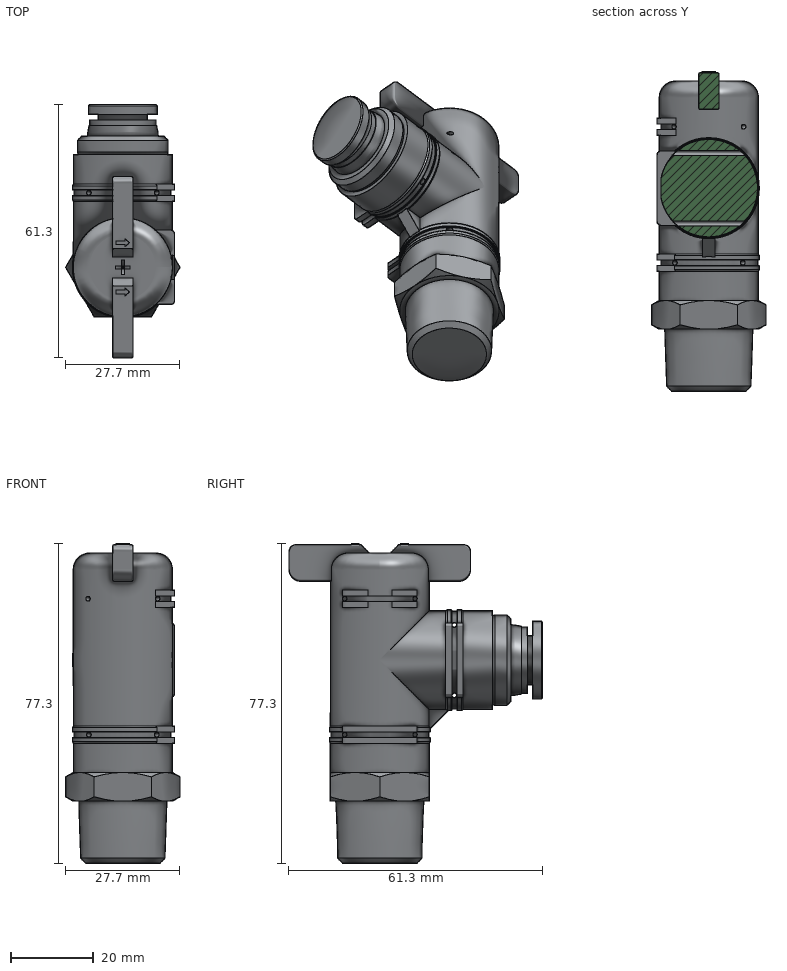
import cadquery as cq
import math

OVERALL_HEIGHT = 77.3
BODY_RADIUS = 12.0

THREAD_TOP_RADIUS = 10.7
THREAD_LOW_RADIUS = 10.2
THREAD_TIP_RADIUS = 9.0
THREAD_CHAMFER_HEIGHT = 1.2
HEX_BOTTOM = 15.0
HEX_TOP = 21.95
HEX_ACROSS_FLATS = 2 * BODY_RADIUS
HEX_CHAMFER_ANGLE = 30.0

CAP_TOP = 75.0
CAP_ROUNDING = 4.0

CROSS_ARM = 1.8
CROSS_WIDTH = 0.7
CROSS_DEPTH = 1.15

BRANCH_HEIGHT = 49.1
BRANCH_END = 27.2
SLEEVE_RADIUS = 11.0
SLEEVE_START_RADIUS = 10.75
SLEEVE_STEP_END = 27.8
SLEEVE_CHAMFER_START = 30.7
SLEEVE_END = 31.7
SLEEVE_END_RADIUS = 10.0
GUIDE_BASE_RADIUS = 8.6
GUIDE_SHOULDER_RADIUS = 8.5
GUIDE_SHOULDER = 32.6
GUIDE_TAPER_RADIUS = 8.2
GUIDE_TAPER_END = 34.25
GUIDE_TIP_RADIUS = 8.05
GUIDE_END = 35.6
NECK_RADIUS = 5.95
RELEASE_START = 36.95
RELEASE_END = 39.35
RELEASE_HALF_HEIGHT = 9.4
RELEASE_HALF_WIDTH = 8.35
RELEASE_CHAMFER = 0.3

CLIP_HALF_WIDTH = 2.1
CLIP_GAP = 1.2
COLLAR_RADIUS = 12.2
COLLAR_CHAMFER = 0.15
COLLAR_SLOPE = 0.4
GROOVE_RADIUS = 11.8
GROOVE_FLAT = 11.6
LUG_FACE = 12.5
LUG_HALF_LENGTH = 9.0
LUG_CORNER_RADIUS = 0.9
LUG_OPENING = 5.8
BODY_CLIP_HEIGHT = 31.1
UPPER_CLIP_HEIGHT = 63.9
BRANCH_CLIP_OFFSET = 18.0
PIN_OFFSET = 8.5
PIN_RADIUS = 0.55
BLIND_PIN_DEPTH = 2.3

GUSSET_THICKNESS = 3.1
GUSSET_REACH = 16.6
GUSSET_FOOT = 32.3

HANDLE_WIDTH = 4.95
HANDLE_BOTTOM = 68.1
HANDLE_TOP = 77.0
HANDLE_END = 21.95
HANDLE_INNER_TOP = 4.55
HANDLE_TOP_RADIUS = 1.7
HANDLE_BOTTOM_RADIUS = 2.9
HANDLE_EDGE_RADIUS = 0.5

ARROW_OFFSET = 5.95
ARROW_HALF_LENGTH = 1.6
ARROW_NECK = 0.55
ARROW_SHAFT_HALF_WIDTH = 0.5
ARROW_HEAD_HALF_WIDTH = 0.9

HALF_GAP = CLIP_GAP / 2
COLLAR_WIDTH = CLIP_HALF_WIDTH - HALF_GAP


def revolve_about_z(profile):
    """Revolve an (r, z) outline that is closed along the Z axis."""
    outline = cq.Workplane("XZ").polyline(profile).close()
    return outline.revolve(360, (0, 0, 0), (0, 1, 0))


def onto_branch(shape):
    """Lay a shape modelled along Z onto the branch axis, Z becoming +Y."""
    return shape.rotate((0, 0, 0), (1, 0, 0), -90).translate((0, 0, BRANCH_HEIGHT))


def threaded_end():
    return revolve_about_z([
        (0, 0),
        (THREAD_TIP_RADIUS, 0),
        (THREAD_LOW_RADIUS, THREAD_CHAMFER_HEIGHT),
        (THREAD_TOP_RADIUS, HEX_BOTTOM),
        (0, HEX_BOTTOM),
    ])


def hexagon():
    """Hexagon with corners on X, chamfered at both ends by a double cone."""
    flat_radius = HEX_ACROSS_FLATS / 2
    corner_radius = flat_radius / math.cos(math.pi / 6)
    drop = (corner_radius - flat_radius) * math.tan(math.radians(HEX_CHAMFER_ANGLE))
    prism = (
        cq.Workplane("XY")
        .workplane(offset=HEX_BOTTOM)
        .polygon(6, 2 * corner_radius)
        .extrude(HEX_TOP - HEX_BOTTOM)
    )
    double_cone = revolve_about_z([
        (0, HEX_BOTTOM),
        (flat_radius, HEX_BOTTOM),
        (corner_radius, HEX_BOTTOM + drop),
        (corner_radius, HEX_TOP - drop),
        (flat_radius, HEX_TOP),
        (0, HEX_TOP),
    ])
    return prism.intersect(double_cone)


def main_body():
    column = cq.Workplane("XY").workplane(offset=HEX_TOP).circle(BODY_RADIUS).extrude(CAP_TOP - HEX_TOP)
    return column.edges(">Z").fillet(CAP_ROUNDING)


def branch():
    """Branch barrel, sleeve, tapered guide and neck as one turned shape."""
    return onto_branch(revolve_about_z([
        (0, 0),
        (BODY_RADIUS, 0),
        (BODY_RADIUS, BRANCH_END),
        (SLEEVE_START_RADIUS, BRANCH_END),
        (SLEEVE_RADIUS, SLEEVE_STEP_END),
        (SLEEVE_RADIUS, SLEEVE_CHAMFER_START),
        (SLEEVE_END_RADIUS, SLEEVE_END),
        (GUIDE_BASE_RADIUS, SLEEVE_END),
        (GUIDE_SHOULDER_RADIUS, GUIDE_SHOULDER),
        (GUIDE_TAPER_RADIUS, GUIDE_TAPER_END),
        (GUIDE_TIP_RADIUS, GUIDE_TAPER_END),
        (GUIDE_TIP_RADIUS, GUIDE_END),
        (NECK_RADIUS, GUIDE_END),
        (NECK_RADIUS, RELEASE_START),
        (0, RELEASE_START),
    ]))


def release_ring():
    """Oval release ring at the branch mouth, taller than it is wide."""
    oval = (
        cq.Workplane("XY")
        .workplane(offset=RELEASE_START)
        .ellipse(RELEASE_HALF_WIDTH, RELEASE_HALF_HEIGHT)
        .extrude(RELEASE_END - RELEASE_START)
    )
    return onto_branch(oval.faces(">Z").chamfer(RELEASE_CHAMFER))


def collar():
    """Collar standing on its gap side, sloping down to the body at its far end."""
    return revolve_about_z([
        (0, 0),
        (COLLAR_RADIUS - COLLAR_CHAMFER, 0),
        (COLLAR_RADIUS, COLLAR_CHAMFER),
        (COLLAR_RADIUS, COLLAR_WIDTH - COLLAR_SLOPE),
        (BODY_RADIUS, COLLAR_WIDTH),
        (0, COLLAR_WIDTH),
    ])


def lug():
    """Plate that widens a collar on the +X side."""
    return (
        cq.Workplane("XY")
        .rect(LUG_FACE, 2 * LUG_HALF_LENGTH)
        .extrude(COLLAR_WIDTH)
        .translate((LUG_FACE / 2, 0, 0))
        .edges("|Z and >X")
        .fillet(LUG_CORNER_RADIUS)
    )


def clip_pair(plate):
    """A plate and its mirror image, one on each side of the clip gap."""
    upper = plate.translate((0, 0, HALF_GAP))
    return upper.union(upper.mirror("XY"))


def gap_flat():
    """Cutter that flattens the cylinder between the lugs on the +X side."""
    flat_depth = LUG_FACE - GROOVE_FLAT
    flat = cq.Workplane("XY").box(flat_depth, 2 * LUG_HALF_LENGTH, CLIP_GAP)
    return flat.translate((GROOVE_FLAT + flat_depth / 2, 0, 0))


def clip_groove():
    """Cutter for the ring groove between the collars, with its flat on +X."""
    ring = cq.Workplane("XY").circle(LUG_FACE).circle(GROOVE_RADIUS).extrude(CLIP_GAP)
    return ring.translate((0, 0, -HALF_GAP)).union(gap_flat())


def upper_lugs():
    """Lugs near the cap, split by an opening around the X axis."""
    opening = cq.Workplane("XY").box(4 * LUG_FACE, LUG_OPENING, COLLAR_WIDTH * 4)
    return clip_pair(lug().cut(opening))


def through_pins():
    """Pin holes along X, one on each side of the clip axis."""
    return (
        cq.Workplane("YZ")
        .pushPoints([(-PIN_OFFSET, 0), (PIN_OFFSET, 0)])
        .circle(PIN_RADIUS)
        .extrude(2 * BODY_RADIUS, both=True)
    )


def blind_pins():
    """Pin holes along X entering from both sides and leaving the middle solid."""
    surface = math.sqrt(BODY_RADIUS**2 - PIN_OFFSET**2)
    core_width = 2 * (surface - BLIND_PIN_DEPTH)
    core = cq.Workplane("XY").box(core_width, 2 * BODY_RADIUS, 4 * PIN_RADIUS)
    return through_pins().cut(core)


def gusset():
    rise = GUSSET_REACH - BODY_RADIUS
    return (
        cq.Workplane("YZ")
        .moveTo(0, GUSSET_FOOT)
        .lineTo(BODY_RADIUS, GUSSET_FOOT)
        .lineTo(GUSSET_REACH, GUSSET_FOOT + rise)
        .lineTo(GUSSET_REACH, BRANCH_HEIGHT)
        .lineTo(0, BRANCH_HEIGHT)
        .close()
        .extrude(GUSSET_THICKNESS / 2, both=True)
    )


def handle_wing():
    """Wing on the +Y side, its inner end sloping down at 45 degrees."""
    inner_bottom = HANDLE_INNER_TOP - (HANDLE_TOP - HANDLE_BOTTOM)
    blade = (
        cq.Workplane("YZ")
        .polyline([
            (inner_bottom, HANDLE_BOTTOM),
            (HANDLE_END, HANDLE_BOTTOM),
            (HANDLE_END, HANDLE_TOP),
            (HANDLE_INNER_TOP, HANDLE_TOP),
        ])
        .close()
        .extrude(HANDLE_WIDTH / 2, both=True)
    )
    blade = blade.edges("|X and >Y and >Z").fillet(HANDLE_TOP_RADIUS)
    blade = blade.edges("|X and >Y and <Z").fillet(HANDLE_BOTTOM_RADIUS)
    outer_rim = cq.selectors.BoxSelector(
        (-HANDLE_WIDTH, HANDLE_INNER_TOP, 0), (HANDLE_WIDTH, 2 * HANDLE_END, 2 * HANDLE_TOP)
    )
    return blade.edges("not |X").edges(outer_rim).fillet(HANDLE_EDGE_RADIUS)


def arrow():
    """Raised arrow pointing along +X."""
    return (
        cq.Workplane("XY")
        .workplane(offset=HANDLE_TOP)
        .polyline([
            (-ARROW_HALF_LENGTH, -ARROW_SHAFT_HALF_WIDTH),
            (ARROW_NECK, -ARROW_SHAFT_HALF_WIDTH),
            (ARROW_NECK, -ARROW_HEAD_HALF_WIDTH),
            (ARROW_HALF_LENGTH, 0),
            (ARROW_NECK, ARROW_HEAD_HALF_WIDTH),
            (ARROW_NECK, ARROW_SHAFT_HALF_WIDTH),
            (-ARROW_HALF_LENGTH, ARROW_SHAFT_HALF_WIDTH),
        ])
        .close()
        .extrude(OVERALL_HEIGHT - HANDLE_TOP)
        .translate((0, ARROW_OFFSET, 0))
    )


def cross_recess():
    """Cross-shaped recess whose arms slope down to the centre."""
    arms = (
        cq.Workplane("XZ")
        .polyline([(-CROSS_ARM, CAP_TOP), (CROSS_ARM, CAP_TOP), (0, CAP_TOP - CROSS_DEPTH)])
        .close()
        .extrude(CROSS_WIDTH / 2, both=True)
    )
    return arms.union(arms.rotate((0, 0, 0), (0, 0, 1), 90))


at_body_clip = (0, 0, BODY_CLIP_HEIGHT)
at_upper_clip = (0, 0, UPPER_CLIP_HEIGHT)
at_branch_clip = (0, 0, BRANCH_CLIP_OFFSET)

full_clip = clip_pair(collar().union(lug()))
column = main_body().union(gusset()).union(branch())

result = column.cut(clip_groove().translate(at_body_clip))
result = result.cut(onto_branch(clip_groove().translate(at_branch_clip)))
result = result.cut(gap_flat().translate(at_upper_clip))
result = result.union(threaded_end()).union(hexagon()).union(release_ring())
result = result.union(full_clip.translate(at_body_clip))
result = result.union(onto_branch(full_clip.translate(at_branch_clip)))
result = result.union(upper_lugs().translate(at_upper_clip))

for position in (at_body_clip, at_upper_clip):
    result = result.cut(blind_pins().translate(position))
result = result.cut(onto_branch(through_pins().translate(at_branch_clip)))

wing = handle_wing()
raised_arrow = arrow()
for feature in (wing, raised_arrow):
    result = result.union(feature).union(feature.mirror("XZ"))

result = result.cut(cross_recess())